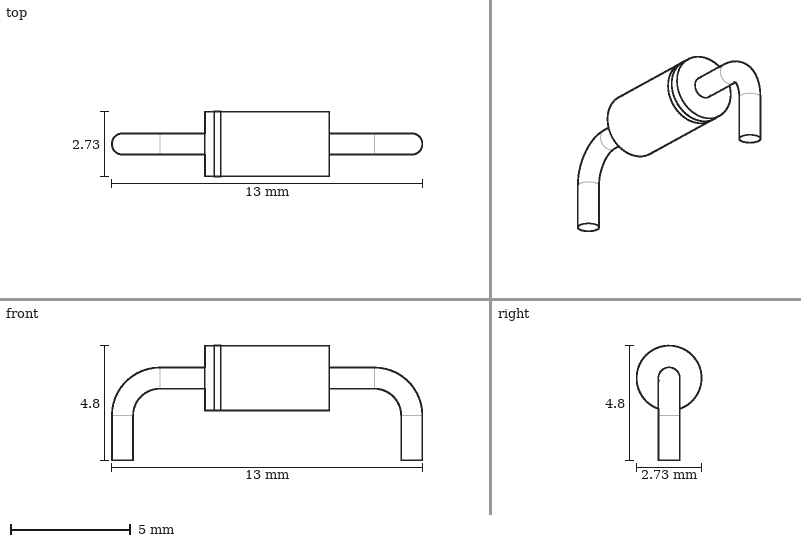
import cadquery as cq

span = 12.98

wire_diameter = 0.9
bend_radius = 1.56
leg_length = 1.88

housing_diameter = 2.71
housing_length = 5.2

band_diameter = 2.73
band_width = 0.27
band_offset = 0.39

leg_x = (span - wire_diameter) / 2
straight_x = leg_x - bend_radius
leg_bottom_z = -(bend_radius + leg_length)
housing_left_x = -housing_length / 2


def x_cylinder(diameter, start_x, length):
    """Cylinder on the X axis, extending towards +X from start_x."""
    return cq.Workplane("YZ", origin=(start_x, 0, 0)).circle(diameter / 2).extrude(length)


def make_wire():
    """One wire: a leg, a quarter bend, the long straight, a bend and a leg."""
    path = (
        cq.Workplane("XZ")
        .moveTo(-leg_x, leg_bottom_z)
        .lineTo(-leg_x, -bend_radius)
        .tangentArcPoint((-straight_x, 0), relative=False)
        .lineTo(straight_x, 0)
        .tangentArcPoint((leg_x, -bend_radius), relative=False)
        .lineTo(leg_x, leg_bottom_z)
    )
    profile = cq.Workplane("XY", origin=(-leg_x, 0, leg_bottom_z)).circle(wire_diameter / 2)
    return profile.sweep(path)


def make_housing():
    """Solid cylinder with a through bore that fits the wire."""
    bore = x_cylinder(wire_diameter, housing_left_x, housing_length)
    return x_cylinder(housing_diameter, housing_left_x, housing_length).cut(bore)


def make_band():
    """Thin ring fitted around the housing near its -X end."""
    band_x = housing_left_x + band_offset
    inside = x_cylinder(housing_diameter, band_x, band_width)
    return x_cylinder(band_diameter, band_x, band_width).cut(inside)


wire = make_wire()
housing = make_housing()
band = make_band()

result = cq.Compound.makeCompound([wire.val(), housing.val(), band.val()])